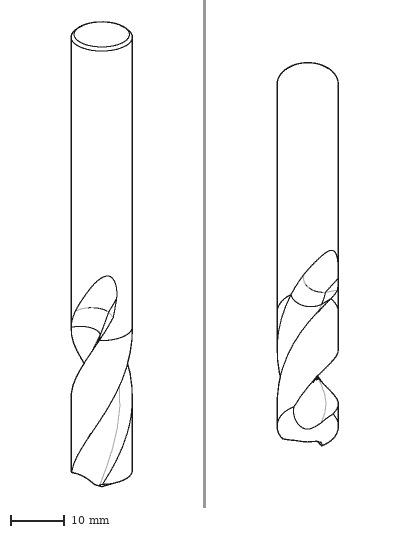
import cadquery as cq
import math

TOTAL_LENGTH = 95.0
DIAMETER = 11.5
RADIUS = DIAMETER / 2
POINT_ANGLE = 118.0
HELIX_ANGLE = 30.0
JOINT_HEIGHT = 33.6
TWIST_END_HEIGHT = 38.3
SHANK_CHAMFER = 0.6
FLUTE_COUNT = 2

POINT_HEIGHT = RADIUS / math.tan(math.radians(POINT_ANGLE / 2))
PITCH = math.pi * DIAMETER / math.tan(math.radians(HELIX_ANGLE))

SECTION_HEIGHT = POINT_HEIGHT
LIP_ANGLE = 208.0
HEEL_ANGLE = 290.0
FLOOR_RADIUS = 1.7
FLOOR_ANGLE = 240.0
KINK_RADIUS = 3.4
KINK_ANGLE = 290.0
CUTTER_RADIUS = 8.55

RUNOUT_HEIGHT = 14.25
RUNOUT_SIDE_SLOPE = 0.53
RUNOUT_OUTWARD_SLOPE = 0.33


def polar(radius, angle):
    """Point in the section plane at a radius and an angle in degrees."""
    return (radius * math.cos(math.radians(angle)), radius * math.sin(math.radians(angle)))


def twist_at(height):
    """Rotation of the flute section, in degrees, at a height above the tip."""
    return 360 * (height - SECTION_HEIGHT) / PITCH


def flute_section(height):
    """Closed flute outline at a height, turned to follow the helix."""
    turn = twist_at(height)
    lip = polar(RADIUS, LIP_ANGLE + turn)
    floor = polar(FLOOR_RADIUS, FLOOR_ANGLE + turn)
    kink = polar(KINK_RADIUS, KINK_ANGLE + turn)
    middle_angle = (LIP_ANGLE + HEEL_ANGLE) / 2
    return (
        cq.Workplane("XY", origin=(0, 0, height))
        .moveTo(*lip)
        .threePointArc(floor, kink)
        .lineTo(*polar(CUTTER_RADIUS, HEEL_ANGLE + turn))
        .threePointArc(polar(CUTTER_RADIUS, middle_angle + turn), polar(CUTTER_RADIUS, LIP_ANGLE + turn))
        .close()
    )


def helical_flute():
    """Twisted part of one flute, from the tip to the start of the run-out."""
    return flute_section(0).twistExtrude(TWIST_END_HEIGHT, twist_at(TWIST_END_HEIGHT) - twist_at(0))


def flute_runout():
    """Straight end of one flute, climbing out through the surface of the shank."""
    middle_angle = (LIP_ANGLE + HEEL_ANGLE) / 2 + twist_at(TWIST_END_HEIGHT)
    outward = cq.Vector(*polar(RUNOUT_OUTWARD_SLOPE, middle_angle))
    sideways = cq.Vector(*polar(RUNOUT_SIDE_SLOPE, middle_angle + 90))
    direction = outward + sideways + cq.Vector(0, 0, 1)
    face = cq.Face.makeFromWires(flute_section(TWIST_END_HEIGHT).val())
    return cq.Workplane(cq.Solid.extrudeLinear(face, direction * RUNOUT_HEIGHT))


def cut_flutes(body, cutter):
    """Cut equally spaced copies of a flute cutter out of a body."""
    for index in range(FLUTE_COUNT):
        body = body.cut(cutter.rotate((0, 0, 0), (0, 0, 1), index * 360 / FLUTE_COUNT))
    return body.solids()


def make_cutting_head():
    """Fluted head with its conical point."""
    blank = (
        cq.Workplane("XZ")
        .polyline([(0, 0), (RADIUS, POINT_HEIGHT), (RADIUS, JOINT_HEIGHT), (0, JOINT_HEIGHT)])
        .close()
        .revolve(360, (0, 0), (0, 1))
    )
    return cut_flutes(blank, helical_flute())


def make_shank():
    """Plain shank with a chamfered end and the run-out of the flutes."""
    blank = (
        cq.Workplane("XY", origin=(0, 0, JOINT_HEIGHT))
        .circle(RADIUS)
        .extrude(TOTAL_LENGTH - JOINT_HEIGHT)
        .faces(">Z")
        .chamfer(SHANK_CHAMFER)
    )
    return cut_flutes(cut_flutes(blank, helical_flute()), flute_runout())


cutting_head = make_cutting_head()
shank = make_shank()

result = cq.Compound.makeCompound([cutting_head.val(), shank.val()])